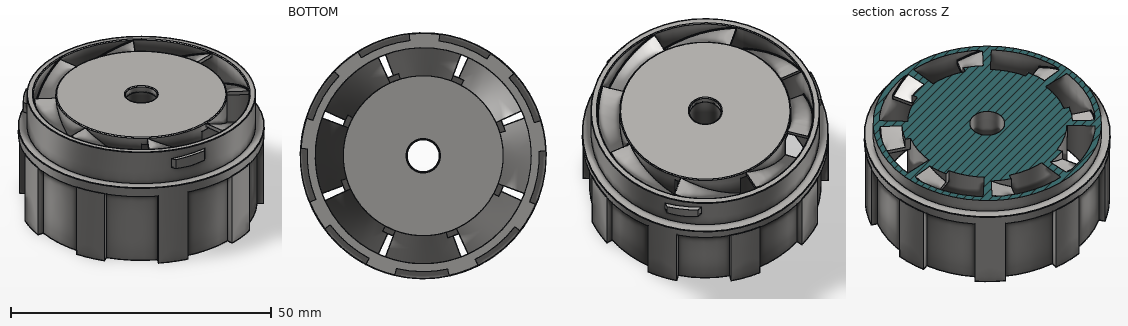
import cadquery as cq
import math

outer_radius = 23.65
total_height = 24.0
groove_floor_radius = 22.3
groove_height = 15.05
flange_top = 17.0
rim_radius = 22.0
bore_radius = 20.8
edge_chamfer = 0.1
bore_chamfer = 0.2

rib_count = 9
rib_angle = 14.4
first_rib_center = 30.6
flush_rib_spacing = 3
first_flush_rib = 2
low_rib_radius = 23.5

hub_radius = 16.45
hub_core_radius = 15.4
hub_cap_thickness = 1.5
hole_radius = 3.1
wide_hole_radius = 3.3
hole_step_depth = 1.35

blade_count = 8
gap_angle = 4.0
blade_thickness = 0.75
blade_drop = 6.1
ledge_width = 0.2
ledge_height = 0.2

lug_count = 3
lug_radius = 22.7
lug_base_half_width = 3.55
lug_end_bevel = 0.5
lug_bottom = 20.15
lug_height = 1.95
lug_rise = 0.6
lug_bottom_rise = 0.45

pitch_angle = 360 / blade_count
blade_angle = pitch_angle - gap_angle
blade_start = (pitch_angle + gap_angle) / 2
blade_end = blade_start + blade_angle
fall_per_degree = blade_drop / blade_angle
blade_top = total_height - bore_chamfer
blade_bottom = blade_top - blade_drop - blade_thickness
hub_cap_bottom = total_height - hub_cap_thickness
ledge_radius = bore_radius - ledge_width

overlap = 0.45
channel_bottom = blade_bottom - overlap / 2


def polar(radius, angle):
    a = math.radians(angle)
    return radius * math.cos(a), radius * math.sin(a)


def sector(inner, outer, start, end, bottom):
    """Closed outline of a ring sector at height bottom."""
    middle = (start + end) / 2
    return (
        cq.Workplane("XY", origin=(0, 0, bottom))
        .moveTo(*polar(inner, start))
        .lineTo(*polar(outer, start))
        .threePointArc(polar(outer, middle), polar(outer, end))
        .lineTo(*polar(inner, end))
        .threePointArc(polar(inner, middle), polar(inner, start))
        .close()
    )


def sector_block(inner, outer, start, end, bottom, top):
    return sector(inner, outer, start, end, bottom).extrude(top - bottom)


def helical_block(start, end):
    """Ring sector that turns with the blades as it rises; start and end are its angles at blade_bottom."""
    bottom = blade_bottom - overlap
    height = total_height + overlap - bottom
    lead = overlap / fall_per_degree
    outline = sector(hub_core_radius - 2 * overlap, rim_radius, start + lead, end + lead, bottom)
    return outline.twistExtrude(height, -height / fall_per_degree)


def turned_copies(shape, count):
    return [shape.rotate((0, 0, 0), (0, 0, 1), i * 360 / count) for i in range(count)]


def make_hub():
    """Stepped hub with a wider cap and a stepped center hole."""
    hole_step = total_height - hole_step_depth
    return (
        cq.Workplane("XZ")
        .moveTo(wide_hole_radius, 0)
        .lineTo(hub_core_radius, 0)
        .lineTo(hub_core_radius, hub_cap_bottom)
        .lineTo(hub_radius, hub_cap_bottom)
        .lineTo(hub_radius, blade_top)
        .lineTo(hub_radius - bore_chamfer, total_height)
        .lineTo(hole_radius + bore_chamfer, total_height)
        .lineTo(hole_radius, blade_top)
        .lineTo(hole_radius, hole_step)
        .lineTo(wide_hole_radius, hole_step)
        .close()
        .revolve(360, (0, 0, 0), (0, 1, 0))
    )


def make_shell():
    """Skirt, flange and upper tube."""
    return (
        cq.Workplane("XZ")
        .moveTo(bore_radius, 0)
        .lineTo(outer_radius - edge_chamfer, 0)
        .lineTo(outer_radius, edge_chamfer)
        .lineTo(outer_radius, flange_top - edge_chamfer)
        .lineTo(outer_radius - edge_chamfer, flange_top)
        .lineTo(rim_radius, flange_top)
        .lineTo(rim_radius, total_height - edge_chamfer)
        .lineTo(rim_radius - edge_chamfer, total_height)
        .lineTo(bore_radius + bore_chamfer, total_height)
        .lineTo(bore_radius, blade_top)
        .close()
        .revolve(360, (0, 0, 0), (0, 1, 0))
    )


def cut_grip_grooves(shell):
    """Cut the grooves around the skirt and trim the ribs that stay below the flange."""
    rib_pitch = 360 / rib_count
    for i in range(rib_count):
        rib_start = first_rib_center + i * rib_pitch - rib_angle / 2
        rib_end = rib_start + rib_angle
        next_rib = rib_start + rib_pitch
        trim_limit = outer_radius + overlap
        groove = sector_block(groove_floor_radius, trim_limit, rib_end, next_rib, -overlap, groove_height)
        shell = shell.cut(groove)
        if i % flush_rib_spacing != first_flush_rib:
            trim = sector_block(low_rib_radius, trim_limit, rib_start, rib_end, -overlap, groove_height)
            shell = shell.cut(trim)
    return shell


def make_space_above(inner, outer, clearance):
    """Open space between two radii above one blade, starting at a clearance over its top face."""
    floor_angle = blade_end + (blade_thickness + clearance) / fall_per_degree
    window = sector_block(inner, outer, blade_start, blade_end, channel_bottom, blade_top + overlap)
    return window.intersect(helical_block(floor_angle, floor_angle + 1.5 * pitch_angle))


def make_vane():
    """One blade with solid fill above it, rooted in both hub and shell."""
    window = sector_block(
        hub_core_radius - overlap, bore_radius + overlap, blade_start, blade_end, channel_bottom, blade_top
    )
    return window.intersect(helical_block(blade_end, blade_end + 1.5 * pitch_angle))


def make_lug():
    """Bayonet lug on the +X side: a curved pad with beveled ends and a sloping top."""
    tip_half_width = lug_base_half_width - lug_end_bevel
    tip_x = math.sqrt(lug_radius**2 - tip_half_width**2)
    base_x = math.sqrt(rim_radius**2 - lug_base_half_width**2)
    root_x = base_x - overlap / 2
    plan = (
        cq.Workplane("XY", origin=(0, 0, lug_bottom))
        .moveTo(root_x, -lug_base_half_width)
        .lineTo(base_x, -lug_base_half_width)
        .lineTo(tip_x, -tip_half_width)
        .threePointArc((lug_radius, 0), (tip_x, tip_half_width))
        .lineTo(base_x, lug_base_half_width)
        .lineTo(root_x, lug_base_half_width)
        .close()
        .extrude(lug_height + lug_rise)
    )
    side = (
        cq.Workplane("YZ")
        .moveTo(-lug_base_half_width, lug_bottom)
        .lineTo(0, lug_bottom)
        .lineTo(lug_base_half_width, lug_bottom + lug_bottom_rise)
        .lineTo(lug_base_half_width, lug_bottom + lug_height + lug_rise)
        .lineTo(-lug_base_half_width, lug_bottom + lug_height)
        .close()
        .extrude(outer_radius)
    )
    return plan.intersect(side)


body = cut_grip_grooves(make_shell()).union(make_hub())
for vane in turned_copies(make_vane(), blade_count):
    body = body.union(vane, clean=False)
spaces = [
    make_space_above(hub_radius, ledge_radius, 0),
    make_space_above(ledge_radius, bore_radius, ledge_height),
]
for space in spaces:
    for copy in turned_copies(space, blade_count):
        body = body.cut(copy, clean=False)
for lug in turned_copies(make_lug(), lug_count):
    body = body.union(lug, clean=False)
result = body